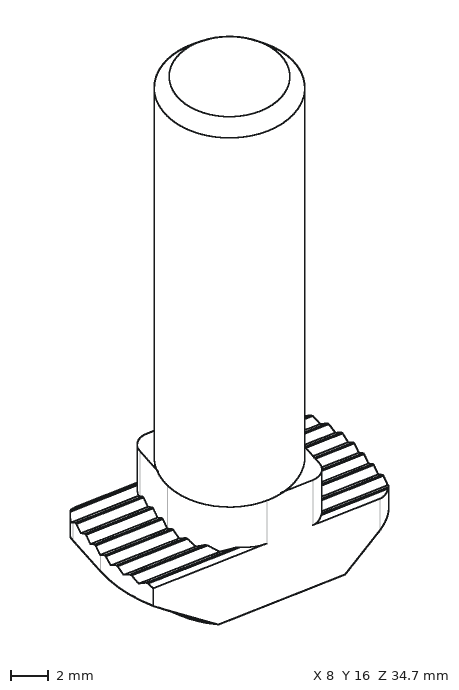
import cadquery as cq
import math

total_height = 34.7
shank_radius = 8.0 / 2
top_chamfer = 0.8
neck_top = 7.65

head_half_width = 3.85
head_half_length = 16.0 / 2
corner_radius = 1.0
taper_height = 3.15
bottom_half_length = 4.85

tooth_pitch = 1.0
tooth_height = 0.3
tooth_flat = 0.1
tooth_valley = 4.3
teeth_per_side = 4
head_height = tooth_valley + tooth_height


def turned_outline(workplane, half_length):
    """Rectangle as wide as the head, two opposite corners cut by an arc about the Z axis."""
    arc_end = math.sqrt(half_length**2 - head_half_width**2)
    middle_angle = (math.pi / 2 + math.atan2(arc_end, head_half_width)) / 2
    middle_x = half_length * math.cos(middle_angle)
    middle_y = half_length * math.sin(middle_angle)
    return (
        workplane.moveTo(0, half_length)
        .threePointArc((-middle_x, middle_y), (-head_half_width, arc_end))
        .lineTo(-head_half_width, -half_length)
        .lineTo(0, -half_length)
        .threePointArc((middle_x, -middle_y), (head_half_width, -arc_end))
        .lineTo(head_half_width, half_length)
        .close()
    )


def rounded_prism():
    """Full-height head outline with its two square corners rounded."""
    prism = turned_outline(cq.Workplane("XY"), head_half_length).extrude(head_height)
    for outermost in (">(1, 1, 0)", "<(1, 1, 0)"):
        prism = prism.edges("|Z").edges(outermost).fillet(corner_radius)
    return prism


def tapered_envelope():
    """Ruled taper below the head, straight sides above it."""
    bottom = turned_outline(cq.Workplane("XY"), bottom_half_length)
    taper = turned_outline(bottom.workplane(offset=taper_height), head_half_length).loft(ruled=True)
    rim = turned_outline(cq.Workplane("XY").workplane(offset=taper_height), head_half_length)
    return taper.union(rim.extrude(head_height - taper_height))


def toothed_section():
    """XZ section of the head whose top edge is a row of teeth with a groove at the middle."""
    end_x = teeth_per_side * tooth_pitch
    points = [(-end_x, 0), (-end_x, tooth_valley)]
    for tooth in range(-teeth_per_side, teeth_per_side):
        valley_x = tooth * tooth_pitch
        crest_x = valley_x + tooth_pitch / 2
        points.append((crest_x - tooth_flat / 2, head_height))
        points.append((crest_x + tooth_flat / 2, head_height))
        points.append((valley_x + tooth_pitch, tooth_valley))
    points.append((end_x, 0))
    return cq.Workplane("XZ").polyline(points).close().extrude(head_half_length, both=True)


def make_head():
    return rounded_prism().intersect(tapered_envelope()).intersect(toothed_section())


def make_neck():
    """Square neck with two opposite corners turned to quarter circles."""
    neck_base = taper_height
    neck = cq.Workplane("XY").circle(head_half_width).extrude(neck_top - neck_base)
    for side in (1, -1):
        corner = (
            cq.Workplane("XY")
            .center(side * head_half_width / 2, side * head_half_width / 2)
            .rect(head_half_width, head_half_width)
            .extrude(neck_top - neck_base)
            .edges("|Z")
            .edges(">(1, 1, 0)" if side > 0 else "<(1, 1, 0)")
            .fillet(corner_radius)
        )
        neck = neck.union(corner)
    return neck.translate((0, 0, neck_base))


def make_shank():
    return (
        cq.Workplane("XY")
        .workplane(offset=neck_top)
        .circle(shank_radius)
        .extrude(total_height - neck_top)
        .faces(">Z")
        .chamfer(top_chamfer)
    )


result = make_head().union(make_neck()).union(make_shank())